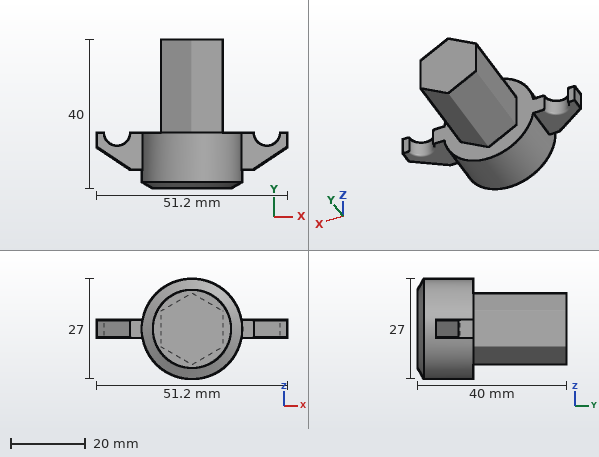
import cadquery as cq
import math

head_diameter = 27.0
head_length = 15.0
bevel_width = 3.0
bevel_angle = 30.0
bevel_depth = bevel_width * math.tan(math.radians(bevel_angle))

shank_length = 25.0
hexagon_sides = 6
shank_across_flats = 16.6
hexagon_half_angle = 180.0 / hexagon_sides
shank_edge_radius = 0.1
shank_across_corners = shank_across_flats / math.cos(math.radians(hexagon_half_angle))

arm_span = 51.18
arm_thickness = 5.0
arm_tip_depth = 4.0
arm_root_depth = 10.0
slope_run = 9.0
slope_chamfer_height = 0.3
slope_chamfer_angle = 30.0
slope_chamfer_width = slope_chamfer_height * math.tan(math.radians(slope_chamfer_angle))
notch_radius = 3.5
notch_edge_radius = 0.5
notch_tip_distance = 5.5

arm_tip_x = arm_span / 2
slope_root_x = arm_tip_x - slope_run
notch_x = arm_tip_x - notch_tip_distance


def make_head():
    """Turned head with a conical bevel around its front face."""
    radius = head_diameter / 2
    return (
        cq.Workplane("XY")
        .polyline([
            (0, 0),
            (radius, 0),
            (radius, bevel_depth - head_length),
            (radius - bevel_width, -head_length),
            (0, -head_length),
        ])
        .close()
        .revolve(360, (0, 0, 0), (0, 1, 0))
    )


def make_shank():
    """Hexagonal bar along +Y with slightly rounded long edges."""
    return (
        cq.Workplane("XZ")
        .transformed(rotate=(0, 0, 90))
        .polygon(hexagon_sides, shank_across_corners)
        .extrude(-shank_length)
        .edges("|Y")
        .fillet(shank_edge_radius)
    )


def make_arm():
    """Arm on the +X side from the head axis to its tip, as a lower half mirrored in Z."""
    lower_half = (
        cq.Workplane("XY")
        .polyline([
            (0, 0),
            (arm_tip_x, 0),
            (arm_tip_x, -arm_tip_depth),
            (slope_root_x, -arm_root_depth),
            (0, -arm_root_depth),
        ])
        .close()
        .extrude(-arm_thickness / 2)
    )
    slope_edge = cq.selectors.NearestToPointSelector((
        (arm_tip_x + slope_root_x) / 2,
        -(arm_tip_depth + arm_root_depth) / 2,
        -arm_thickness / 2,
    ))
    lower_half = lower_half.edges(slope_edge).chamfer(slope_chamfer_height, slope_chamfer_width)
    blank = lower_half.union(lower_half.mirror("XY"), clean=True)

    notch = (
        cq.Workplane("XY")
        .center(notch_x, 0)
        .circle(notch_radius)
        .extrude(arm_thickness / 2, both=True)
    )
    return blank.cut(notch).edges("%CIRCLE and (>Z or <Z)").fillet(notch_edge_radius)


arm = make_arm()
result = (
    make_head()
    .union(make_shank())
    .union(arm)
    .union(arm.mirror("YZ"))
)